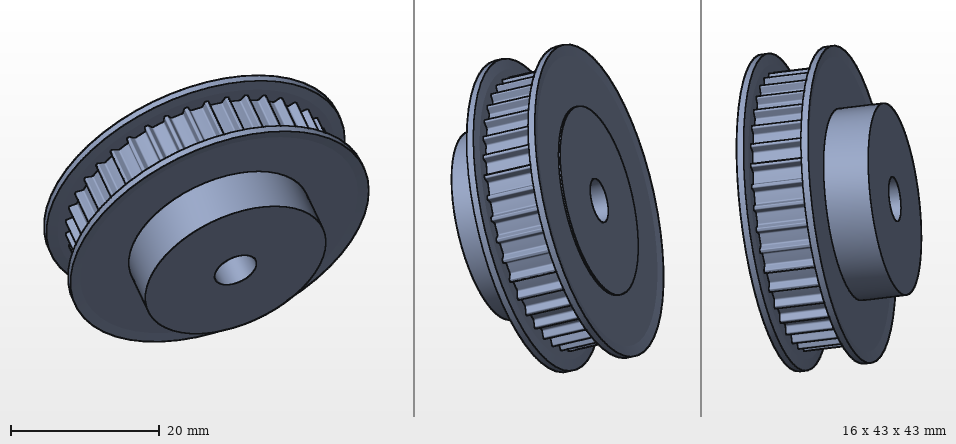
import cadquery as cq
import math

total_length = 16.0
rim_diameter = 43.0
hub_diameter = 26.0
bore_diameter = 6.0

toothed_length = 10.0
sheet_thickness = 1.0
bend_offset = 0.25
bend_diameter = 40.0

tooth_count = 40
tip_radius = 18.88
root_radius = 17.85
tip_width = 0.47
base_width = 1.1
tip_edge_radius = 0.17
root_edge_radius = 0.25

flange_depth = sheet_thickness + bend_offset
belt_width = toothed_length - 2 * flange_depth
middle_radius = (tip_radius + root_radius) / 2


def on_circle(radius, angle):
    return (radius * math.cos(angle), radius * math.sin(angle))


def axial_edges_between(body, inner_radius, outer_radius):
    """Edges along X whose distance from the pulley axis is between the two radii."""
    return [
        edge
        for edge in body.edges("|X").vals()
        if inner_radius < math.hypot(edge.Center().y, edge.Center().z) < outer_radius
    ]


def make_toothed_disc():
    """Solid toothed disc: flat flanks, with arcs along the tips and the groove bottoms."""
    pitch_angle = 2 * math.pi / tooth_count
    half_tip = math.asin(tip_width / 2 / tip_radius)
    half_base = math.asin(base_width / 2 / root_radius)

    first_tooth = pitch_angle / 2
    outline = cq.Workplane("YZ", origin=(flange_depth, 0, 0))
    outline = outline.moveTo(*on_circle(root_radius, first_tooth - half_base))
    for index in range(tooth_count):
        middle = first_tooth + index * pitch_angle
        groove_middle = middle + pitch_angle / 2
        next_base = middle + pitch_angle - half_base
        outline = outline.lineTo(*on_circle(tip_radius, middle - half_tip))
        outline = outline.threePointArc(
            on_circle(tip_radius, middle), on_circle(tip_radius, middle + half_tip)
        )
        outline = outline.lineTo(*on_circle(root_radius, middle + half_base))
        outline = outline.threePointArc(
            on_circle(root_radius, groove_middle), on_circle(root_radius, next_base)
        )
    disc = outline.close().extrude(belt_width)

    tip_edges = axial_edges_between(disc, middle_radius, rim_diameter / 2)
    disc = disc.newObject(tip_edges).fillet(tip_edge_radius)
    root_edges = axial_edges_between(disc, 0, middle_radius)
    return disc.newObject(root_edges).fillet(root_edge_radius)


def make_flange(rim_x, outward):
    """Bent sheet disc whose rim ends at rim_x; outward is -1 or +1 along X."""
    inward = -outward
    disc_x = rim_x + inward * bend_offset
    rim_radius = rim_diameter / 2
    bend_radius = bend_diameter / 2
    section = [
        (disc_x, 0),
        (disc_x, bend_radius),
        (rim_x, rim_radius),
        (rim_x + inward * sheet_thickness, rim_radius),
        (disc_x + inward * sheet_thickness, bend_radius),
        (disc_x + inward * sheet_thickness, 0),
    ]
    return cq.Workplane("XY").polyline(section).close().revolve(360, (0, 0, 0), (1, 0, 0))


hub = cq.Workplane("YZ").circle(hub_diameter / 2).extrude(total_length)
bore = cq.Workplane("YZ").circle(bore_diameter / 2).extrude(total_length)

result = (
    hub.union(make_toothed_disc())
    .union(make_flange(0, -1))
    .union(make_flange(toothed_length, 1))
    .cut(bore)
)